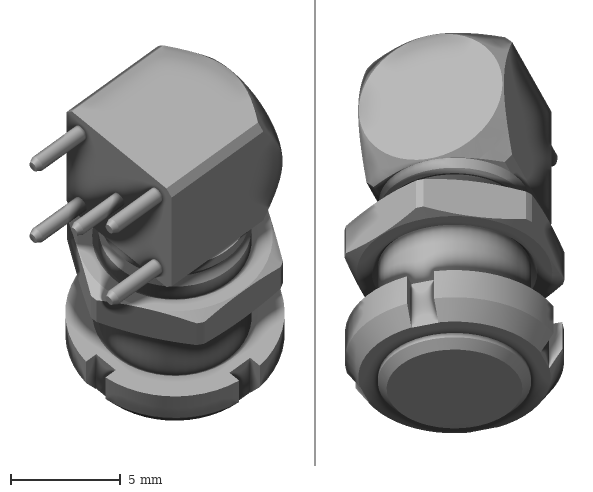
import cadquery as cq
import math


barrel_radius = 3.5
barrel_end_chamfer = 0.4
barrel_shoulder_z = 9.1
neck_radius = 3.15
neck_height = 0.33
collar_radius = 3.45
collar_edge_radius = 6.5 / 2
collar_edge_height = 0.15

block_size = 7.0
block_top_z = 17.5
block_edge_chamfer = 0.35
back_circle_radius = 3.45
block_bottom_z = block_top_z - block_size
block_center_z = block_top_z - block_size / 2
block_front_y = -block_size / 2

corner_pin_radius = 0.75 / 2
corner_pin_length = 3.01
center_pin_radius = 0.7 / 2
center_pin_length = 2.82
pin_offset = 2.54
pin_tip_length = 0.28
pin_tip_inset = 0.14

bore_chamfer = 0.28

hex_bottom_z = 6.51
hex_thickness = 2.0
hex_across_flats = 9.0
hex_corner_radius = 5.1
hex_face_radius = 4.46
hex_corner_drop = 0.23

ring_bottom_z = 0.65
ring_cone_height = 0.93
ring_thickness = 2.45
ring_radius = 5.0
ring_bottom_radius = 4.4
slot_width = 1.3
slot_floor_radius = 4.32
slot_count = 4


def revolve_profile(points):
    """Revolve (radius, height) points about the Z axis."""
    return cq.Workplane("XZ").polyline(points).close().revolve(360, (0, 0), (0, 1))


def make_barrel():
    neck_bottom_z = barrel_shoulder_z + barrel_radius - neck_radius
    neck_top_z = neck_bottom_z + neck_height
    return revolve_profile([
        (0, 0),
        (barrel_radius - barrel_end_chamfer, 0),
        (barrel_radius, barrel_end_chamfer),
        (barrel_radius, barrel_shoulder_z),
        (neck_radius, neck_bottom_z),
        (neck_radius, neck_top_z),
        (collar_edge_radius, neck_top_z),
        (collar_radius, neck_top_z + collar_edge_height),
        (collar_radius, block_bottom_z),
        (0, block_bottom_z),
    ])


def make_block():
    block = (
        cq.Workplane("XY")
        .box(block_size, block_size, block_size)
        .edges("|Y")
        .chamfer(block_edge_chamfer)
    )
    cone = cq.Solid.makeCone(
        back_circle_radius + block_size,
        back_circle_radius,
        block_size,
        cq.Vector(0, block_front_y, 0),
        cq.Vector(0, 1, 0),
    )
    return block.intersect(cq.Workplane(cone)).translate((0, 0, block_center_z))


def make_pin(radius, length, x, z):
    """Pin with a tapered tip, standing on the front face of the block."""
    return (
        cq.Workplane("XZ", origin=(x, block_front_y, z))
        .circle(radius)
        .extrude(length)
        .faces("<Y")
        .chamfer(pin_tip_length, pin_tip_inset)
    )


def make_body():
    body = make_barrel().union(make_block())
    for x in (-pin_offset, pin_offset):
        for dz in (-pin_offset, pin_offset):
            body = body.union(make_pin(corner_pin_radius, corner_pin_length, x, block_center_z + dz))
    return body.union(make_pin(center_pin_radius, center_pin_length, 0, block_center_z))


def make_hex_nut():
    across_corners = hex_across_flats / math.cos(math.pi / 6)
    prism = (
        cq.Workplane("XY")
        .polygon(6, across_corners)
        .extrude(hex_thickness)
        .rotate((0, 0, 0), (0, 0, 1), 30)
    )
    mouth_radius = barrel_radius + bore_chamfer
    envelope = revolve_profile([
        (barrel_radius, bore_chamfer),
        (mouth_radius, 0),
        (hex_face_radius, 0),
        (hex_corner_radius, hex_corner_drop),
        (hex_corner_radius, hex_thickness - hex_corner_drop),
        (hex_face_radius, hex_thickness),
        (mouth_radius, hex_thickness),
        (barrel_radius, hex_thickness - bore_chamfer),
    ])
    return prism.intersect(envelope).translate((0, 0, hex_bottom_z))


def make_ring_nut():
    ring = revolve_profile([
        (barrel_radius, 0),
        (ring_bottom_radius, 0),
        (ring_radius, ring_cone_height),
        (ring_radius, ring_thickness),
        (barrel_radius + bore_chamfer, ring_thickness),
        (barrel_radius, ring_thickness - bore_chamfer),
    ])
    slot = (
        cq.Workplane("XY")
        .box(ring_radius, slot_width, ring_thickness, centered=(False, True, False))
        .translate((slot_floor_radius, 0, 0))
    )
    for i in range(slot_count):
        ring = ring.cut(slot.rotate((0, 0, 0), (0, 0, 1), i * 360 / slot_count))
    return ring.translate((0, 0, ring_bottom_z))


body = make_body()
hex_nut = make_hex_nut()
ring_nut = make_ring_nut()

result = cq.Compound.makeCompound([
    body.solids().val(),
    hex_nut.solids().val(),
    ring_nut.solids().val(),
])